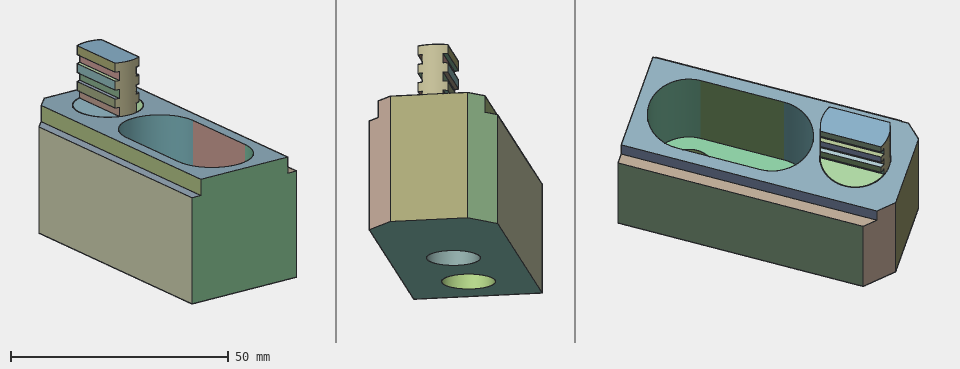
import cadquery as cq

body_length = 65.0
body_width = 30.0
body_height = 30.0
corner_chamfer = 6.0
ledge_width = 2.55
ledge_depth = 3.95

hole_diameter = 12.4
hole_spacing = 20.0
first_hole_x = body_length / 2
pocket_width = 19.1
pocket_depth = 25.0

total_height = 43.2
plug_x = 12.5
plug_radius = 8.05
clearance = 0.1
clearance_depth = 13.0
tab_thickness = 6.95
tab_groove_depth = 1.05
tab_rib_count = 3

tab_height = total_height - body_height
band_height = tab_height / (2 * tab_rib_count)
pocket_center_x = first_hole_x + hole_spacing / 2


def make_body():
    """Chamfered block with a ledge along both upper long edges."""
    body = (
        cq.Workplane("XY")
        .box(body_length, body_width, body_height, centered=(False, True, False))
        .edges("|Z and <X")
        .chamfer(corner_chamfer)
    )
    for side in (-1, 1):
        ledge = (
            cq.Workplane("XY", origin=(0, side * (body_width - ledge_width) / 2, body_height - ledge_depth))
            .box(body_length, ledge_width, ledge_depth, centered=(False, True, False))
        )
        body = body.cut(ledge)
    return body


def make_pocket():
    """Slotted pocket open at the top, with two holes down through its floor."""
    slot = (
        cq.Workplane("XY", origin=(pocket_center_x, 0, body_height - pocket_depth))
        .slot2D(hole_spacing + pocket_width, pocket_width)
        .extrude(pocket_depth)
    )
    holes = (
        cq.Workplane("XY", origin=(pocket_center_x, 0, 0))
        .rarray(hole_spacing, 0.65, 2, 1)
        .circle(hole_diameter / 2)
        .extrude(body_height)
    )
    return slot.union(holes)


def make_clearance_ring():
    """Narrow annular gap between the plug and the body."""
    return (
        cq.Workplane("XY", origin=(plug_x, 0, body_height - clearance_depth))
        .circle(plug_radius + clearance)
        .circle(plug_radius)
        .extrude(clearance_depth)
    )


def make_tab():
    """Ribbed tab with flat sides and rounded ends, trimmed to the plug radius."""
    slab_length = 2 * plug_radius
    tab = (
        cq.Workplane("XY", origin=(plug_x, 0, body_height))
        .box(slab_length, tab_thickness - 2 * tab_groove_depth, tab_height, centered=(True, True, False))
    )
    for index in range(tab_rib_count):
        rib_bottom = body_height + (2 * index + 1) * band_height
        rib = (
            cq.Workplane("XY", origin=(plug_x, 0, rib_bottom))
            .box(slab_length, tab_thickness, band_height, centered=(True, True, False))
        )
        tab = tab.union(rib)
    envelope = (
        cq.Workplane("XY", origin=(plug_x, 0, body_height))
        .circle(plug_radius)
        .extrude(tab_height)
    )
    return tab.intersect(envelope)


result = make_body().cut(make_pocket()).cut(make_clearance_ring()).union(make_tab())